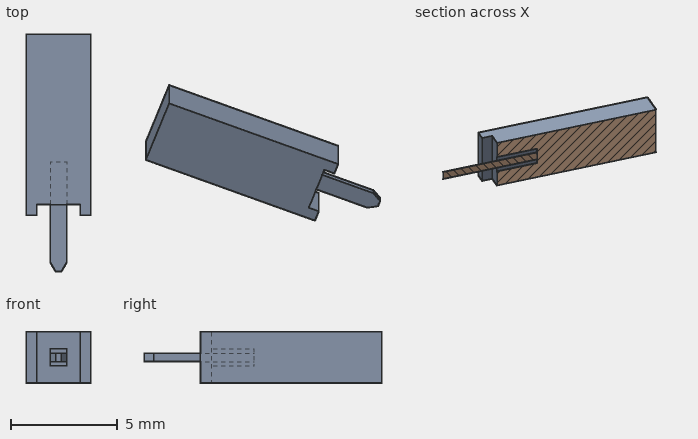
import cadquery as cq
import math

housing_width = 3.05
housing_length = 8.51
housing_height = 2.41
leg_width = 0.508
leg_length = 0.508

socket_size = 0.787
socket_depth = 2.0

pin_reach = 2.64
pin_thickness = 0.406
taper_inset = 0.254
taper_angle = 30
tip_width = socket_size - 2 * taper_inset
tip_length = taper_inset / math.tan(math.radians(taper_angle))

channel_floor_y = leg_length
socket_floor_y = channel_floor_y + socket_depth
tip_y = -pin_reach
taper_start_y = tip_y + tip_length


def make_housing():
    """Block with two legs at its pin end and a blind square socket between them."""
    block = cq.Workplane("XY").box(
        housing_width, housing_length, housing_height, centered=(True, False, True)
    )
    channel = cq.Workplane("XY").box(
        housing_width - 2 * leg_width, leg_length, housing_height, centered=(True, False, True)
    )
    socket = (
        cq.Workplane("XY")
        .box(socket_size, socket_depth, socket_size, centered=(True, False, True))
        .translate((0, channel_floor_y, 0))
    )
    return block.cut(channel).cut(socket)


def make_pin():
    """Flat strip whose two sides taper to a narrow blunt tip."""
    half_width = socket_size / 2
    half_tip = tip_width / 2
    return (
        cq.Workplane("XY")
        .moveTo(-half_width, socket_floor_y)
        .lineTo(-half_width, taper_start_y)
        .lineTo(-half_tip, tip_y)
        .lineTo(half_tip, tip_y)
        .lineTo(half_width, taper_start_y)
        .lineTo(half_width, socket_floor_y)
        .close()
        .extrude(pin_thickness / 2, both=True)
    )


housing = make_housing()
pin = make_pin()

result = cq.Compound.makeCompound([housing.val(), pin.val()])